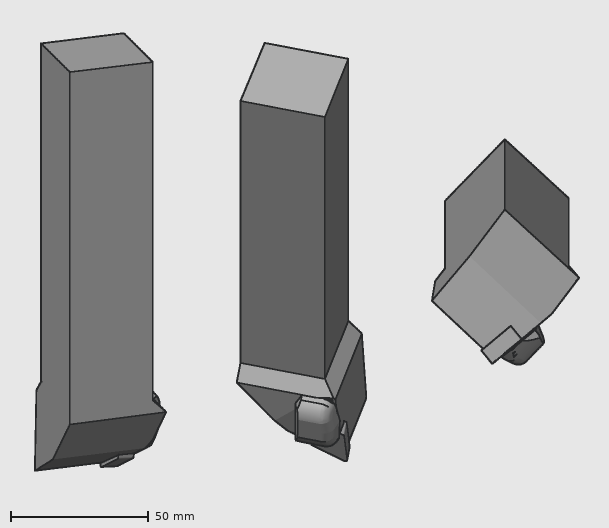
import cadquery as cq
import math


overall_length = 171.4
shank_side = 32.0
side_relief = 0.3

shoulder_top = 39.5
shoulder = 5.1
shoulder_bottom = shoulder_top - shoulder
head_depth = shank_side + shoulder
head_corner_x = -6.9
head_corner_z = 2.4
end_angle = 30.0
end_face_right = 13.0
end_face_top = head_corner_z + (end_face_right - head_corner_x) * math.tan(math.radians(end_angle))

insert_edge = 15.5
insert_thickness = 6.3
insert_angle = 55.0
insert_corner_radius = 0.9
lead_angle = 3.0
seat_slope = 0.12
insert_tip = (-8.48, 31.7, -0.72)

clamp_base = 29.1
dome_start = 36.7
clamp_crown = 43.5
clamp_draft = 10.0
clamp_toe = 8.5
clamp_slant_top = 7.0
clamp_slant_foot = 10.1
crown_radius = 4.1
left_side_limit = -2.5
clamp_gap = 0.5
foot_inset = 2.2

reach = 2 * clamp_crown


def rake_plane(height=0.0):
    """Plane parallel to the insert's rake face, with local X along the long cutting edge."""
    lead = math.radians(lead_angle)
    edge_x = math.sin(lead)
    edge_z = math.cos(lead)
    edge = (edge_x, seat_slope * (edge_x + edge_z), edge_z)
    plane = cq.Plane(origin=insert_tip, xDir=edge, normal=(-seat_slope, 1, -seat_slope))
    plane.origin = plane.toWorldCoords((0, 0, height))
    return plane


def space_above_rake(height):
    """Everything near the head that lies behind the rake plane and below the shoulder."""
    space = cq.Workplane(rake_plane(height)).rect(2 * reach, 2 * reach).extrude(reach)
    below_shoulder = cq.Workplane("XY").rect(2 * reach, 2 * reach).extrude(shoulder_top)
    return space.intersect(below_shoulder)


def xz_outline(points, depth):
    """Closed X-Z outline at the given depth; a negative extrusion goes toward the back."""
    return cq.Workplane("XZ", origin=(0, depth, 0)).polyline(points).close()


def yz_plane():
    """Y-Z workplane to the left of the whole part."""
    return cq.Workplane("YZ", origin=(-reach, 0, 0))


def make_insert():
    """Rhombic indexable insert lying on the tilted seat, with its four corners rounded."""
    angle = math.radians(insert_angle)
    across_x = insert_edge * math.cos(angle)
    across_y = insert_edge * math.sin(angle)
    rhombus = [(0, 0), (insert_edge, 0), (insert_edge + across_x, across_y), (across_x, across_y)]
    plane = rake_plane()
    blank = cq.Workplane(plane).polyline(rhombus).close().extrude(-insert_thickness)
    return blank.edges(cq.selectors.ParallelDirSelector(plane.zDir)).fillet(insert_corner_radius)


def make_shank_and_head():
    """Front outline along Y, narrowed above the shoulder and relieved on the right side."""
    front = [
        (0, overall_length),
        (0, shoulder_top),
        (-shoulder, shoulder_bottom),
        (head_corner_x, head_corner_z),
        (end_face_right, end_face_top),
        (shank_side, shoulder_bottom),
        (shank_side, overall_length),
    ]
    back_waste = [
        (head_depth, shoulder_bottom),
        (shank_side, shoulder_top),
        (shank_side, overall_length),
        (head_depth, overall_length),
    ]
    relief = [(shank_side, head_depth), (shank_side, 0), (shank_side - side_relief, 0)]
    body = xz_outline(front, 0).extrude(-head_depth)
    body = body.cut(yz_plane().polyline(back_waste).close().extrude(2 * reach))
    return body.cut(cq.Workplane("XY").polyline(relief).close().extrude(overall_length))


def make_clamp():
    """Domed clamp with faceted sides, standing on a smaller foot above the seat."""
    rim = [
        (-5.5, shoulder_top),
        (-7.7, 23.3),
        (-6.9, 13.0),
        (-2.5, 7.4),
        (4.0, 7.4),
        (11.1, 12.3),
        (11.1, 30.0),
        (6.2, shoulder_top),
    ]
    dome = (
        yz_plane()
        .moveTo(clamp_base, shoulder_bottom)
        .lineTo(dome_start, shoulder_bottom)
        .lineTo(39.4, 34.0)
        .threePointArc((42.0, 31.7), (clamp_crown, 27.8))
        .lineTo(42.5, 18.0)
        .threePointArc((39.2, 12.9), (34.6, clamp_toe))
        .lineTo(clamp_base, clamp_toe)
        .close()
        .extrude(2 * reach)
    )
    slant_waste = [
        (clamp_slant_top, clamp_crown),
        (clamp_slant_foot, head_depth),
        (reach, head_depth),
        (reach, reach),
        (clamp_slant_top, reach),
    ]
    cap_rise = clamp_crown - clamp_base
    cap = xz_outline(rim, clamp_base).extrude(-cap_rise, taper=clamp_draft).intersect(dome)
    left_crown = cq.selectors.BoxSelector(
        (-reach, dome_start, 0), (left_side_limit, reach, shoulder_top)
    )
    cap = cap.edges(left_crown).fillet(crown_radius)
    cap = cap.cut(cq.Workplane("XY").polyline(slant_waste).close().extrude(reach))

    head_zone = cq.Workplane("XZ").rect(2 * reach, 2 * reach).extrude(-head_depth)
    cap = cap.cut(head_zone.cut(space_above_rake(clamp_gap)))

    foot_rise = head_depth - clamp_base
    foot = xz_outline(rim, clamp_base).offset2D(-foot_inset).extrude(-foot_rise)
    foot = foot.intersect(dome).intersect(space_above_rake(0))
    return cap.union(foot)


insert = make_insert()
holder = make_shank_and_head().cut(space_above_rake(0)).union(make_clamp()).cut(insert)

result = cq.Compound.makeCompound([holder.solids().val(), insert.solids().val()])